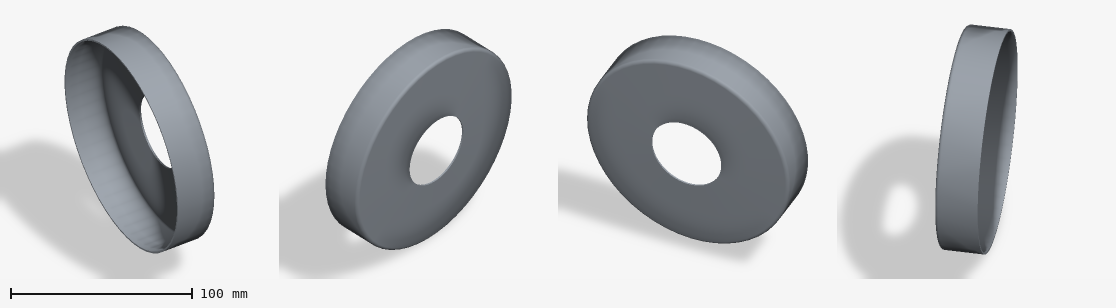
import cadquery as cq
import math

outer_diameter = 125.0
height = 25.0
hole_diameter = 43.0
wall = 1.0
crown_rise = 1.0
outer_edge_radius = 2.0
inner_edge_radius = outer_edge_radius - wall

outer_radius = outer_diameter / 2
hole_radius = hole_diameter / 2
rim_y = -height / 2
crown_y = height / 2

bend_x = outer_radius - outer_edge_radius
face_run = bend_x - hole_radius
face_slope = math.atan(crown_rise / face_run)
face_normal = math.pi / 2 - face_slope
bend_y = crown_y - crown_rise - outer_edge_radius / math.cos(face_slope)
inner_crown_y = crown_y - wall / math.cos(face_slope)


def bend_point(radius, angle):
    """Point on a rounding of the given radius, at an angle from the +X direction."""
    return (bend_x + radius * math.cos(angle), bend_y + radius * math.sin(angle))


section = (
    cq.Workplane("XY")
    .moveTo(outer_radius, rim_y)
    .lineTo(outer_radius, bend_y)
    .threePointArc(
        bend_point(outer_edge_radius, face_normal / 2),
        bend_point(outer_edge_radius, face_normal),
    )
    .lineTo(hole_radius, crown_y)
    .lineTo(hole_radius, inner_crown_y)
    .lineTo(*bend_point(inner_edge_radius, face_normal))
    .threePointArc(
        bend_point(inner_edge_radius, face_normal / 2),
        bend_point(inner_edge_radius, 0),
    )
    .lineTo(outer_radius - wall, rim_y)
    .close()
)

result = section.revolve(360, (0, 0, 0), (0, 1, 0))